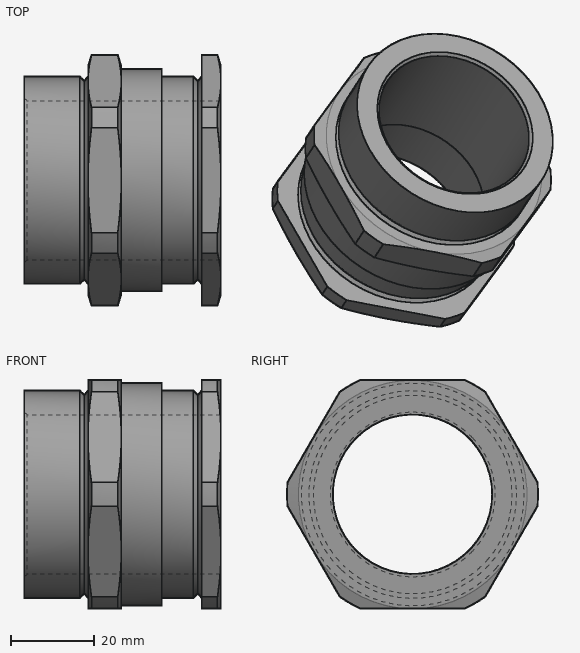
import cadquery as cq
import math

overall_length = 47.4
thread_end = 13.4
body_hex_start = 15.4
body_hex_width = 8.0
collar_length = 9.8
nut_hex_width = 4.65

thread_radius = 25.0
collar_radius = 26.8
bore_radius = 19.15
bore_mouth_radius = 19.85
bore_chamfer = bore_mouth_radius - bore_radius

across_flats = 55.0
flat_radius = across_flats / 2
corner_radius = 1.1 * flat_radius
bevel_angle = 17.0
bevel_length = (corner_radius - flat_radius) * math.tan(math.radians(bevel_angle))

undercut_depth = 1.1
undercut_length = body_hex_start - thread_end

collar_start = body_hex_start + body_hex_width
collar_end = collar_start + collar_length
nut_hex_start = overall_length - nut_hex_width


def revolve_about_x(profile):
    """Full turn of a closed (x, radius) profile about the X axis."""
    return cq.Workplane("XY").polyline(profile).close().revolve(360, (0, 0, 0), (1, 0, 0))


def cylinder_along_x(start, end, radius):
    return cq.Workplane("YZ").workplane(offset=start).circle(radius).extrude(end - start)


def threaded_shank(start, hex_face):
    """Solid shank ending in a V undercut against the face of a hexagon."""
    undercut_start = hex_face - undercut_length
    return revolve_about_x([
        (start, 0),
        (start, thread_radius),
        (undercut_start, thread_radius),
        (undercut_start + undercut_depth, thread_radius - undercut_depth),
        (hex_face, thread_radius),
        (hex_face, 0),
    ])


def hexagon(start, width, bevel_near_side):
    """Hexagonal flange with turned corners, bevelled on the +X side and optionally on the -X side."""
    end = start + width
    corner_diameter = across_flats / math.cos(math.radians(30))
    prism = cq.Workplane("YZ").workplane(offset=start).polygon(6, corner_diameter).extrude(width)
    if bevel_near_side:
        near_edge = [(start, flat_radius), (start + bevel_length, corner_radius)]
    else:
        near_edge = [(start, corner_radius)]
    far_edge = [(end - bevel_length, corner_radius), (end, flat_radius)]
    envelope = revolve_about_x([(start, 0), *near_edge, *far_edge, (end, 0)])
    return prism.intersect(envelope)


def make_gland_body():
    """Entry thread, hexagon and round collar with a through bore chamfered at its mouth."""
    shank = threaded_shank(0, body_hex_start)
    flange = hexagon(body_hex_start, body_hex_width, bevel_near_side=True)
    collar = cylinder_along_x(collar_start, collar_end, collar_radius)
    bore = revolve_about_x([
        (0, 0),
        (0, bore_mouth_radius),
        (bore_chamfer, bore_radius),
        (collar_end, bore_radius),
        (collar_end, 0),
    ])
    return shank.union(flange).union(collar).cut(bore)


def make_gland_nut():
    """Threaded shank that meets the end of the collar, with its own hexagon and a plain bore."""
    shank = threaded_shank(collar_end, nut_hex_start)
    flange = hexagon(nut_hex_start, nut_hex_width, bevel_near_side=False)
    bore = cylinder_along_x(collar_end, overall_length, bore_radius)
    return shank.union(flange).cut(bore)


gland_body = make_gland_body()
gland_nut = make_gland_nut()

result = cq.Compound.makeCompound([gland_body.solids().val(), gland_nut.solids().val()])